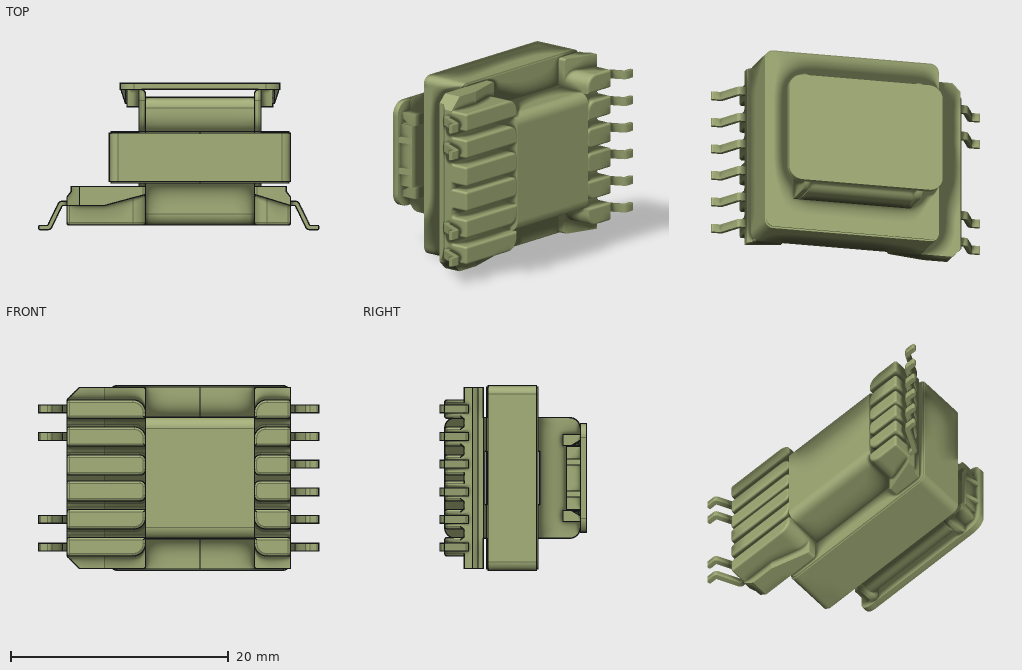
import cadquery as cq
import math


core_half_x = 8.2
core_half_z = 8.375
core_half_y = 2.37
core_corner_radius = 0.66
window_half_x = 5.65
window_half_z = 5.6
center_leg_half_z = 2.4
tape_thickness = 0.14
tape_half_y = 2.23

bore_half_y = 2.5
bore_half_z = 2.455
tube_wall = 0.5
flange_inner_x = 5.0
flange_outer_x = 5.62
flange_half_z = 5.56
flange_back_y = 6.25
flange_corner_radius = 1.0
flange_edge_radius = 0.42

winding_back_y = 5.53
winding_corner_radius = 1.0

long_block_end = 12.23
short_block_end = 8.33
block_half_z = 8.33
block_back_y = -2.66
block_edge_radius = 0.23
floor_y = -4.42
floor_inner_y = -3.4
slope_end = 8.78
bevel_depth = 0.38
bevel_start_y = -3.15
bevel_end_y = -3.64
long_block_corner_cut = 1.15

rib_front_y = -6.22
rib_edge_radius = 0.22
slot_floor_radius = 0.25
rib_rows = [
    (0.27, 2.11, 0.5),
    (2.92, 4.68, 1.0),
    (5.48, 7.18, 1.17),
]
center_rib_row = rib_rows[0]

pin_pitch = 2.54
pin_thickness = 0.42
pin_width = 0.74
pin_embed = 0.5
pin_shoulder = 0.56
pin_foot_start = 1.64
pin_reach = 2.6
pin_bend_radius = 0.42
pin_tip_radius = 0.15
pin_shoulder_y = -4.23
pin_front_y = -6.66
pin_foot_y = pin_front_y + pin_thickness / 2
pin_rows = [0.5 * pin_pitch, 1.5 * pin_pitch, 2.5 * pin_pitch]

cap_half_x = 7.35
cap_half_z = 5.01
cap_thickness = 0.58
cap_corner_radius = 1.27
clip_outer_x = 6.71
clip_tip_y = 4.64
clip_z_min = 2.98
clip_z_max = 3.99
clip_relief_z = 0.51
clip_relief_y = 0.84
clip_relief_taper = 15
wall_outer_x = 6.86
wall_thickness = 0.5
wall_tip_y = 4.96
wall_half_z = 2.91
gusset_outer_x = 7.28
gusset_z_min = 1.21
gusset_z_max = 1.75


def block(x_min, x_max, y_min, y_max, z_min, z_max):
    """Axis-aligned box between the given limits."""
    size = (x_max - x_min, y_max - y_min, z_max - z_min)
    return cq.Workplane("XY").box(*size, centered=False).translate((x_min, y_min, z_min))


def prism(points, z_min, z_max):
    """XY outline extruded from z_min to z_max."""
    return cq.Workplane("XY").workplane(offset=z_min).polyline(points).close().extrude(z_max - z_min)


def both_z(shape):
    """The shape together with its mirror image across Z = 0."""
    return shape.union(shape.mirror("XY"))



def plate_outline(end_x, margin=0.0):
    """XY outline between the plate's front and back, extended by margin at both ends.

    The front slopes from the inner end down to floor_y, then stays flat to the outer end.
    """
    corner_x = min(end_x, slope_end)
    slope = (floor_y - floor_inner_y) / (corner_x - flange_inner_x)
    points = [
        (flange_inner_x - margin, block_back_y),
        (end_x + margin, block_back_y),
    ]
    if end_x > slope_end:
        points.append((end_x + margin, floor_y))
        points.append((corner_x, floor_y))
    else:
        points.append((end_x + margin, floor_y + slope * margin))
    points.append((flange_inner_x - margin, floor_inner_y - slope * margin))
    return points


def block_plate(end_x):
    plate = prism(plate_outline(end_x), -block_half_z, block_half_z)
    return plate.edges("|Y and <X").fillet(block_edge_radius)


def rib(end_x, row):
    z_min, z_max, inner_radius = row
    body = block(flange_inner_x, end_x, rib_front_y, block_back_y, z_min, z_max)
    body = body.edges("|Y and >X").fillet(rib_edge_radius)
    rounded = "|Y and <X" if row is center_rib_row else "|Y and <X and >Z"
    body = body.edges(rounded).fillet(inner_radius)
    return body.faces("<Y").edges().fillet(rib_edge_radius)


def rib_foot(end_x, row):
    """Concave rounding between a rib and the floor of the slots beside it."""
    z_min, z_max, _ = row
    margin = 2 * slot_floor_radius
    outline = plate_outline(end_x, margin)
    body = prism(outline, z_min - margin, z_max + margin).union(rib(end_x, row))
    near_rib = cq.selectors.BoxSelector(
        (flange_inner_x - rib_edge_radius, floor_y - rib_edge_radius, z_min - rib_edge_radius),
        (end_x + rib_edge_radius, floor_inner_y + rib_edge_radius, z_max + rib_edge_radius),
    )
    body = body.edges(near_rib).edges("not |Y").fillet(slot_floor_radius)
    first_rib_z = (rib_rows[0][0] + rib_rows[0][1]) / 2
    last_rib_z = (rib_rows[-1][0] + rib_rows[-1][1]) / 2
    return body.intersect(block(flange_inner_x, end_x, rib_front_y, block_back_y, first_rib_z, last_rib_z))


def end_bevel(end_x):
    """Material removed at the back of the outer end of a block."""
    points = [
        (end_x, block_back_y),
        (end_x - bevel_depth, block_back_y),
        (end_x - bevel_depth, bevel_start_y),
        (end_x, bevel_end_y),
    ]
    return prism(points, -block_half_z, block_half_z)


def flange():
    body = block(flange_inner_x, flange_outer_x, floor_inner_y, flange_back_y, -flange_half_z, flange_half_z)
    body = body.edges("|X and >Y").fillet(flange_corner_radius)
    return body.faces("<X").edges("not <Y").fillet(flange_edge_radius)


def pin(end_x, z):
    """Gull-wing pin of constant thickness, bent twice, leaving the block at end_x."""
    bend = math.atan2(pin_shoulder_y - pin_foot_y, pin_foot_start - pin_shoulder)
    half = pin_thickness / 2
    miter = half * math.tan(bend / 2)
    start = end_x - pin_embed
    shoulder = end_x + pin_shoulder
    foot = end_x + pin_foot_start
    tip = end_x + pin_reach
    points = [
        (start, pin_shoulder_y + half),
        (shoulder + miter, pin_shoulder_y + half),
        (foot + miter, pin_foot_y + half),
        (tip, pin_foot_y + half),
        (tip, pin_foot_y - half),
        (foot - miter, pin_foot_y - half),
        (shoulder - miter, pin_shoulder_y - half),
        (start, pin_shoulder_y - half),
    ]
    body = prism(points, z - pin_width / 2, z + pin_width / 2)
    outer_bends = [points[1], points[5]]
    for x, y in outer_bends:
        body = body.edges(cq.selectors.NearestToPointSelector((x, y, z))).fillet(pin_bend_radius)
    return body.edges("|Z and >X").fillet(pin_tip_radius)


def terminal_side(end_x, pin_heights):
    """Flange, ribbed terminal block and pins of one end of the bobbin."""
    side = block_plate(end_x)
    for row in rib_rows:
        side = side.union(both_z(rib(end_x, row)))
        side = side.union(both_z(rib_foot(end_x, row)))
    side = side.cut(end_bevel(end_x)).union(flange())
    for height in pin_heights:
        side = side.union(both_z(pin(end_x, height)))
    return side


def corner_cut():
    """Corners removed from the outer end of the long block."""
    z_corner = block_half_z
    outline = [
        (long_block_end, z_corner),
        (long_block_end - long_block_corner_cut, z_corner),
        (long_block_end, z_corner - long_block_corner_cut),
    ]
    depth = block_back_y - floor_y
    cutter = cq.Workplane("XZ", origin=(0, block_back_y, 0)).polyline(outline).close().extrude(depth)
    return both_z(cutter)


def tube_block(half_length, growth):
    """Box along the bobbin axis, larger than the bore by the given growth."""
    half_y = bore_half_y + growth
    half_z = bore_half_z + growth
    return block(-half_length, half_length, -half_y, half_y, -half_z, half_z)


def make_bobbin():
    short_side = terminal_side(short_block_end, pin_rows)
    long_side = terminal_side(long_block_end, pin_rows[1:]).cut(corner_cut())
    tube = tube_block(flange_inner_x, tube_wall)
    body = tube.union(short_side).union(long_side.mirror("YZ"))
    return body.cut(tube_block(flange_outer_x, 0))



def make_winding():
    body = block(
        -flange_inner_x, flange_inner_x, rib_front_y, winding_back_y, -flange_half_z, flange_half_z
    )
    body = body.edges("|X").fillet(winding_corner_radius)
    return body.cut(tube_block(flange_inner_x, tube_wall))



def make_core_half():
    """E-shaped half on the +X side, with its legs ending at X = 0."""
    body = block(0, core_half_x, -core_half_y, core_half_y, -core_half_z, core_half_z)
    body = body.edges("|Y and >X").fillet(core_corner_radius)
    window = block(0, window_half_x, -core_half_y, core_half_y, center_leg_half_z, window_half_z)
    return body.cut(both_z(window))



def rounded_slab(half_x, half_z, corner_radius):
    slab = block(-half_x, half_x, -tape_half_y, tape_half_y, -half_z, half_z)
    return slab.edges("|Y").fillet(corner_radius)


def make_tape():
    outside = rounded_slab(
        core_half_x + tape_thickness, core_half_z + tape_thickness, core_corner_radius + tape_thickness
    )
    return outside.cut(rounded_slab(core_half_x, core_half_z, core_corner_radius))



def clip_block():
    """Block beside the flange, with a sloped relief at the corner next to the plate."""
    body = block(flange_outer_x, clip_outer_x, clip_tip_y, flange_back_y, clip_z_min, clip_z_max)
    relief = (
        cq.Workplane("YZ", origin=(clip_outer_x, 0, 0))
        .moveTo(flange_back_y, clip_z_min)
        .lineTo(flange_back_y - clip_relief_y, clip_z_min)
        .lineTo(flange_back_y, clip_z_min + clip_relief_z)
        .close()
        .extrude(flange_outer_x - clip_outer_x, taper=clip_relief_taper)
    )
    return body.cut(relief)


def gusset():
    """Triangular rib bracing the wall against the plate."""
    points = [
        (wall_outer_x, flange_back_y),
        (gusset_outer_x, flange_back_y),
        (wall_outer_x, wall_tip_y),
    ]
    return prism(points, gusset_z_min, gusset_z_max)


def cap_side():
    wall = block(
        wall_outer_x - wall_thickness, wall_outer_x, wall_tip_y, flange_back_y, -wall_half_z, wall_half_z
    )
    return wall.union(both_z(clip_block())).union(both_z(gusset()))


def make_cap():
    plate = block(
        -cap_half_x, cap_half_x, flange_back_y, flange_back_y + cap_thickness, -cap_half_z, cap_half_z
    )
    plate = plate.edges("|Y").fillet(cap_corner_radius)
    side = cap_side()
    return plate.union(side).union(side.mirror("YZ"))


bobbin = make_bobbin()
winding = make_winding()
right_core = make_core_half()
left_core = right_core.mirror("YZ")
tape = make_tape()
cap = make_cap()

result = cq.Compound.makeCompound([
    bobbin.val(),
    winding.val(),
    right_core.val(),
    left_core.val(),
    tape.val(),
    cap.val(),
])